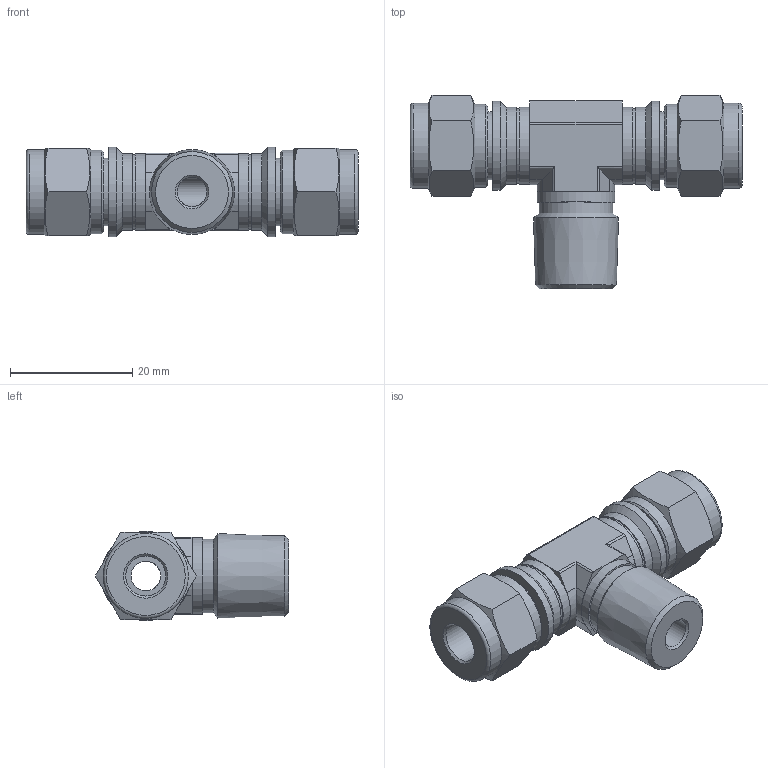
import cadquery as cq
import math

overall_length = 54.28
overall_depth = 31.6

body_across_flats = 12.7
body_radius = body_across_flats / 2
body_half_length = 7.6
body_edge_radius = 0.4
branch_block_end = 7.55

shoulder_diameter = 12.6

passage_diameter = 4.83

run_half_length = overall_length / 2
run_groove_start = 9.25
run_groove_width = 0.5
run_groove_depth = 0.2
collar_cone_start = 11.4
collar_start = 12.4
collar_end = 13.65
collar_diameter = 14.6
thread_diameter = 11.11

nut_start = 14.45
nut_skirt_diameter = 13.6
nut_skirt_chamfer = 0.3
nut_hex_start = 16.55
nut_hex_end = 24.15
nut_across_flats = 14.29
nut_corner_radius = nut_across_flats / math.sqrt(3)
nut_hex_chamfer_angle = 25
nut_head_diameter = 13.9
nut_head_edge_radius = 0.5
tube_bore_diameter = 6.55
tube_bore_chamfer = 0.35
tube_bore_depth = 15.2

branch_shoulder_end = 9.2
branch_neck_diameter = 12.0
taper_cone_start = 11.0
taper_start = 11.8
branch_length = overall_depth - nut_corner_radius
taper_large_diameter = 13.9
taper_end_chamfer = 0.65
taper_slope = 1 / 16
branch_bore_chamfer = 0.35


def body_profile(plane, sharp_side):
    """Hexagon outline with its side corners rounded to the body radius; the -x corner may stay sharp."""
    face_angle = math.pi / 6
    corner_x = body_radius * math.tan(face_angle)
    tangent_x = body_radius * math.cos(face_angle)
    tangent_z = body_radius * math.sin(face_angle)
    outline = (
        cq.Workplane(plane)
        .moveTo(-corner_x, body_radius)
        .lineTo(corner_x, body_radius)
        .lineTo(tangent_x, tangent_z)
        .threePointArc((body_radius, 0), (tangent_x, -tangent_z))
        .lineTo(corner_x, -body_radius)
        .lineTo(-corner_x, -body_radius)
    )
    if sharp_side:
        outline = outline.lineTo(-2 * corner_x, 0)
    else:
        outline = outline.lineTo(-tangent_x, -tangent_z)
        outline = outline.threePointArc((-body_radius, 0), (-tangent_x, tangent_z))
    return outline.close()


def tee_body():
    run_plane = cq.Plane(origin=(body_half_length, 0, 0), xDir=(0, -1, 0), normal=(-1, 0, 0))
    run = body_profile(run_plane, sharp_side=True).extrude(2 * body_half_length)
    run = run.edges("|X").edges(">Z or <Z").fillet(body_edge_radius)
    branch = body_profile("XZ", sharp_side=False).extrude(branch_block_end)
    branch = branch.edges("|Y").edges(">Z or <Z").fillet(body_edge_radius)
    return run.union(branch)


def revolve_about_x(profile):
    return cq.Workplane("XY").polyline(profile).close().revolve(360, (0, 0, 0), (1, 0, 0))


def run_end():
    """Turned body end on the +X side, from the tee body out to the thread under the nut."""
    shoulder_radius = shoulder_diameter / 2
    groove_radius = shoulder_radius - run_groove_depth
    groove_end = run_groove_start + run_groove_width
    return revolve_about_x([
        (body_half_length, 0),
        (body_half_length, shoulder_radius),
        (run_groove_start, shoulder_radius),
        (run_groove_start, groove_radius),
        (groove_end, groove_radius),
        (groove_end, shoulder_radius),
        (collar_cone_start, shoulder_radius),
        (collar_start, collar_diameter / 2),
        (collar_end, collar_diameter / 2),
        (collar_end, thread_diameter / 2),
        (nut_start, thread_diameter / 2),
        (nut_start, 0),
    ])


def nut():
    """Tube nut on the +X side: round skirt, chamfered hexagon and round head."""
    quarter_turn = 90
    hex_length = nut_hex_end - nut_hex_start
    slope = math.tan(math.radians(nut_hex_chamfer_angle))
    skirt_radius = nut_skirt_diameter / 2
    head_radius = nut_head_diameter / 2
    hexagon = (
        cq.Workplane("YZ", origin=(nut_hex_start, 0, 0))
        .polygon(6, nut_across_flats, circumscribed=True)
        .extrude(hex_length)
        .rotate((0, 0, 0), (1, 0, 0), quarter_turn)
    )
    hex_envelope = revolve_about_x([
        (nut_hex_start, 0),
        (nut_hex_start, skirt_radius),
        (nut_hex_start + (nut_corner_radius - skirt_radius) * slope, nut_corner_radius),
        (nut_hex_end - (nut_corner_radius - head_radius) * slope, nut_corner_radius),
        (nut_hex_end, head_radius),
        (nut_hex_end, 0),
    ])
    skirt = (
        cq.Workplane("YZ", origin=(nut_start, 0, 0))
        .circle(skirt_radius)
        .extrude(nut_hex_start - nut_start)
        .faces("<X").edges().chamfer(nut_skirt_chamfer)
    )
    head = (
        cq.Workplane("YZ", origin=(nut_hex_end, 0, 0))
        .circle(head_radius)
        .extrude(run_half_length - nut_hex_end)
        .faces(">X").edges().fillet(nut_head_edge_radius)
    )
    return hexagon.intersect(hex_envelope).union(skirt).union(head)


def tube_bore():
    """Tube socket with a chamfered mouth in the +X end."""
    radius = tube_bore_diameter / 2
    bottom = run_half_length - tube_bore_depth
    return revolve_about_x([
        (bottom, 0),
        (bottom, radius),
        (run_half_length - tube_bore_chamfer, radius),
        (run_half_length, radius + tube_bore_chamfer),
        (run_half_length, 0),
    ])


def revolve_about_y(profile):
    return cq.Workplane("XY").polyline(profile).close().revolve(360, (0, 0, 0), (0, 1, 0))


def branch_end():
    """Turned shoulder, neck and tapered thread blank along -Y."""
    shoulder_radius = shoulder_diameter / 2
    neck_radius = branch_neck_diameter / 2
    large_radius = taper_large_diameter / 2
    taper_end = branch_length - taper_end_chamfer
    small_radius = large_radius - (taper_end - taper_start) * taper_slope / 2
    return revolve_about_y([
        (0, -branch_block_end),
        (shoulder_radius, -branch_block_end),
        (shoulder_radius, -branch_shoulder_end),
        (neck_radius, -branch_shoulder_end),
        (neck_radius, -taper_cone_start),
        (large_radius, -taper_start),
        (small_radius, -taper_end),
        (small_radius - taper_end_chamfer, -branch_length),
        (0, -branch_length),
    ])


def branch_bore():
    radius = passage_diameter / 2
    return revolve_about_y([
        (0, 0),
        (radius, 0),
        (radius, -branch_length + branch_bore_chamfer),
        (radius + branch_bore_chamfer, -branch_length),
        (0, -branch_length),
    ])


def run_passage():
    return (
        cq.Workplane("YZ", origin=(-run_half_length, 0, 0))
        .circle(passage_diameter / 2)
        .extrude(2 * run_half_length)
    )


half_run = run_end().union(nut())
tee = tee_body().union(branch_end()).union(half_run).union(half_run.mirror("YZ"))
socket = tube_bore()
result = tee.cut(run_passage()).cut(branch_bore()).cut(socket).cut(socket.mirror("YZ"))